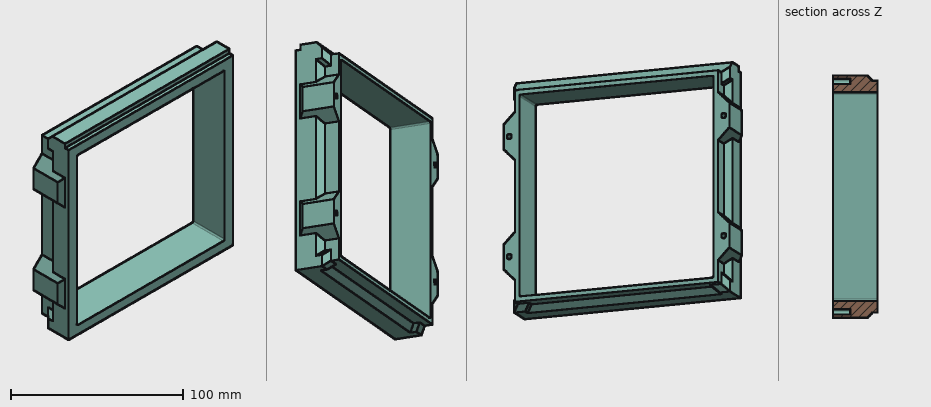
import cadquery as cq

overall_width = 141.0
depth = 26.0
rim_size = 127.0
wall = 3.0
window_corner_radius = 1.0

bevel_start = 5.1
bevel = 4.0
top_rise = 7.5
notch_depth = 3.0
notch_height = 3.1

corner_length = 6.9

tab_spacing = 72.0
tab_tip_width = 15.0
tab_tip_depth = 20.0
hole_diameter = 3.0
hole_inset = 3.5
hole_depth = 10.0

rim_half = rim_size / 2
band_half = rim_half + bevel
tab_tip = overall_width / 2
tab_reach = tab_tip - rim_half
top = rim_half + top_rise
window_size = rim_size - 2 * wall


def outer_block():
    """Solid block: the upright profile crossed with the horizontal profile."""
    notch_start = depth - notch_depth
    upright = (
        cq.Workplane("XZ")
        .polyline([
            (0, -rim_half),
            (0, rim_half),
            (bevel_start, rim_half),
            (bevel_start + top_rise, top),
            (notch_start, top),
            (notch_start, top - notch_height),
            (depth, top - notch_height),
            (depth, -band_half),
            (bevel_start + bevel, -band_half),
            (bevel_start, -rim_half),
        ])
        .close()
        .extrude(band_half, both=True)
    )
    horizontal = (
        cq.Workplane("XY")
        .polyline([
            (0, -rim_half),
            (bevel_start, -rim_half),
            (bevel_start + bevel, -band_half),
            (depth, -band_half),
            (depth, band_half),
            (bevel_start + bevel, band_half),
            (bevel_start, rim_half),
            (0, rim_half),
        ])
        .close()
        .extrude(top, both=True)
    )
    return upright.intersect(horizontal)


def recess_cutter():
    """Bottom recess: moves the bevel back by its own size, with 45 degree ends."""
    reach = 2 * bevel
    back = bevel_start + bevel
    half_length = rim_half - corner_length
    bevel_wedge = (
        cq.Workplane("XZ")
        .polyline([
            (0, -rim_half),
            (back, -rim_half),
            (back + reach, -rim_half - reach),
            (0, -rim_half - reach),
        ])
        .close()
        .extrude(rim_half, both=True)
    )
    flared_ends = (
        cq.Workplane("YZ")
        .polyline([
            (-half_length, -rim_half),
            (half_length, -rim_half),
            (half_length + reach, -rim_half - reach),
            (-half_length - reach, -rim_half - reach),
        ])
        .close()
        .extrude(depth)
    )
    return bevel_wedge.intersect(flared_ends)


def side_tab():
    """Tab on the +Y side at mid height, sloped ends, bevelled back edge."""
    tip_half = tab_tip_width / 2
    root_half = tip_half + tab_reach
    tab_depth = tab_tip_depth + tab_tip - band_half
    root = rim_half - wall / 2
    face = (
        cq.Workplane("YZ")
        .polyline([
            (root, -root_half),
            (rim_half, -root_half),
            (tab_tip, -tip_half),
            (tab_tip, tip_half),
            (rim_half, root_half),
            (root, root_half),
        ])
        .close()
        .extrude(depth)
    )
    side = (
        cq.Workplane("XY")
        .polyline([
            (0, root),
            (0, tab_tip),
            (tab_tip_depth, tab_tip),
            (tab_depth, band_half),
            (tab_depth, root),
        ])
        .close()
        .extrude(root_half, both=True)
    )
    return face.intersect(side)


def screw_hole():
    """Blind hole from the front face for the tab on the +Y side."""
    return (
        cq.Workplane("YZ")
        .center(tab_tip - hole_inset, 0)
        .circle(hole_diameter / 2)
        .extrude(hole_depth)
    )


def window():
    """Square opening through the full depth, with lightly rounded corners."""
    return (
        cq.Workplane("YZ")
        .rect(window_size, window_size)
        .extrude(depth)
        .edges("|X")
        .fillet(window_corner_radius)
    )


result = outer_block()

for angle in (0, 90, -90):
    result = result.cut(recess_cutter().rotate((0, 0, 0), (1, 0, 0), angle))

for turn in (0, 180):
    for height in (-tab_spacing / 2, tab_spacing / 2):
        tab = side_tab().translate((0, 0, height)).rotate((0, 0, 0), (1, 0, 0), turn)
        hole = screw_hole().translate((0, 0, height)).rotate((0, 0, 0), (1, 0, 0), turn)
        result = result.union(tab).cut(hole)

result = result.cut(window())